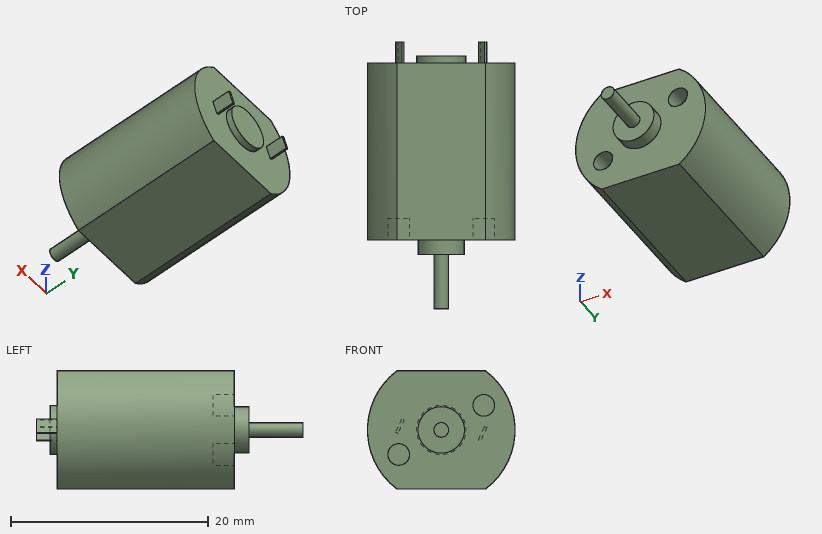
import cadquery as cq

can_diameter = 14.99
can_height = 12.0
can_length = 17.95

front_boss_diameter = 4.7
front_boss_length = 1.5
shaft_diameter = 1.5
shaft_length = 5.5

rear_boss_diameter = 5.0
rear_boss_length = 0.7

mount_hole_diameter = 2.2
mount_hole_depth = 2.16
mount_hole_radius = 4.98
mount_hole_angle = 30

terminal_length = 2.1
terminal_width = 1.5
terminal_thickness = 0.27
terminal_tilt = 65
terminal_x = 4.2
terminal_z = 0.38


def plane_at(y):
    """XZ plane at the given y; positive extrusion runs toward -Y."""
    return cq.Workplane("XZ", origin=(0, y, 0))


def make_can():
    """Cylinder with its top and bottom cut flat."""
    cylinder = plane_at(can_length).circle(can_diameter / 2).extrude(can_length)
    flats = plane_at(can_length).rect(can_diameter, can_height).extrude(can_length)
    return cylinder.intersect(flats)


def make_terminal(side):
    """Tilted flat terminal on the rear face; side is -1 for left, 1 for right."""
    return (
        plane_at(can_length + terminal_length)
        .center(side * terminal_x, -side * terminal_z)
        .transformed(rotate=(0, 0, terminal_tilt))
        .rect(terminal_width, terminal_thickness)
        .extrude(terminal_length)
    )


def make_mount_holes():
    """Pair of opposite blind holes in the front face."""
    return (
        plane_at(mount_hole_depth)
        .polarArray(mount_hole_radius, mount_hole_angle, 360, 2)
        .circle(mount_hole_diameter / 2)
        .extrude(mount_hole_depth)
    )


front_boss = plane_at(0).circle(front_boss_diameter / 2).extrude(front_boss_length)
shaft = plane_at(-front_boss_length).circle(shaft_diameter / 2).extrude(shaft_length)
rear_boss = (
    plane_at(can_length + rear_boss_length)
    .circle(rear_boss_diameter / 2)
    .extrude(rear_boss_length)
)

result = make_can().union(front_boss).union(shaft).union(rear_boss)
for side in (-1, 1):
    result = result.union(make_terminal(side))
result = result.cut(make_mount_holes())